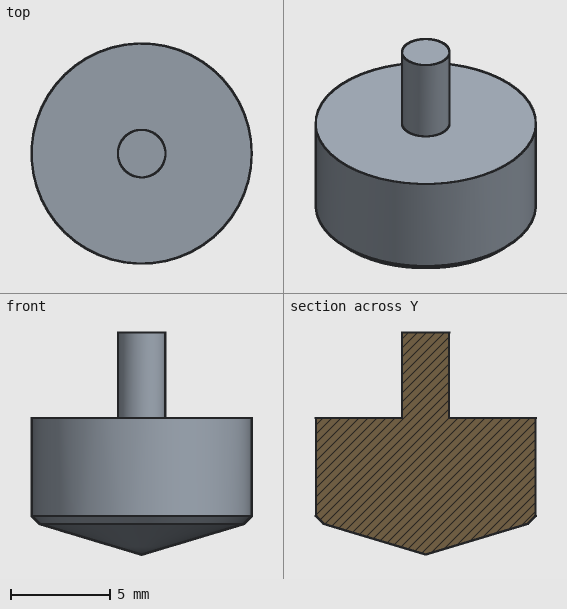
import cadquery as cq

total_height = 11.2
body_diameter = 11.1
pin_diameter = 2.4

pin_length = 4.3
chamfer = 0.4
cone_height = 1.55

body_radius = body_diameter / 2
pin_radius = pin_diameter / 2
cone_radius = body_radius - chamfer

chamfer_top = cone_height + chamfer
body_top = total_height - pin_length

half_section = (
    cq.Workplane("XZ")
    .moveTo(0, 0)
    .lineTo(cone_radius, cone_height)
    .lineTo(body_radius, chamfer_top)
    .lineTo(body_radius, body_top)
    .lineTo(pin_radius, body_top)
    .lineTo(pin_radius, total_height)
    .lineTo(0, total_height)
    .close()
)

result = half_section.revolve(360, (0, 0, 0), (0, 1, 0))